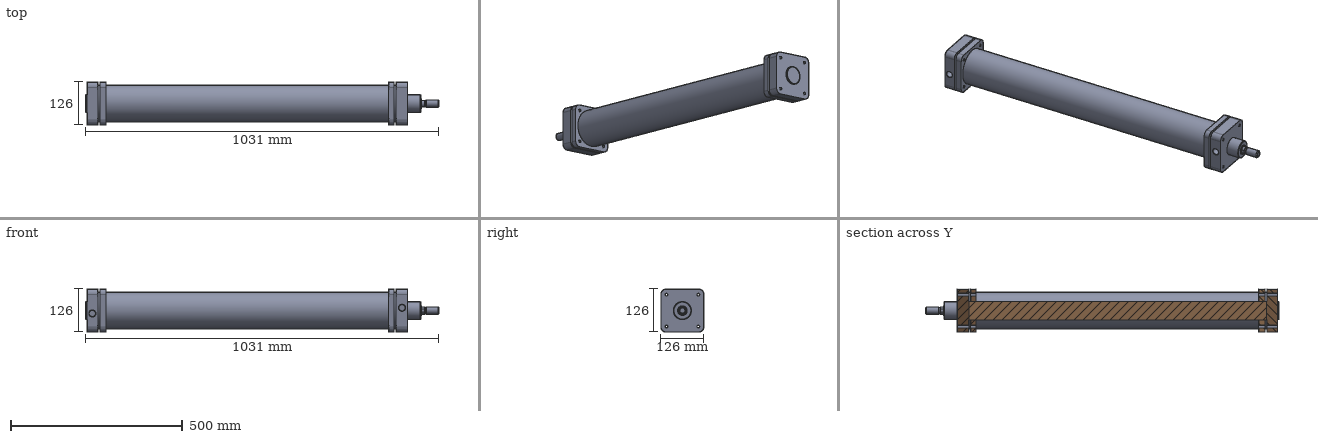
import cadquery as cq

HEAD_SIDE = 126.0
CORNER_RADIUS = 15.0
BOLT_OFFSET = 46.0
BOLT_HOLE_DIAMETER = 7.0

BOSS_LENGTH = 4.0
REAR_HEAD_LENGTH = 32.0
PLATE_GAP = 5.0
REAR_PLATE_LENGTH = 19.0
FRONT_PLATE_LENGTH = 16.0
TUBE_LENGTH = 869.0
TUBE_DIAMETER = 108.0
FRONT_HEAD_LENGTH = 34.0
NECK_LENGTH = 38.0
NECK_DIAMETER = 53.0
NECK_CHAMFER = 1.5

PORT_DIAMETER = 19.0
PORT_CHAMFER = 1.0
PORT_DEPTH = 31.0
PORT_RISE = 8.0
REAR_PORT_SETBACK = 15.0
FRONT_PORT_SETBACK = 16.0

ROD_DIAMETER = 28.0
ROD_COLLAR_LENGTH = 2.0
FLAT_LENGTH = 8.0
FLAT_SPACING = 20.0
SHANK_DIAMETER = 22.0
RELIEF_DIAMETER = 19.0
RELIEF_FLOOR_LENGTH = 4.0
RELIEF_RAMP_LENGTH = 2.0
TIP_CHAMFER = 3.0

OVERALL_LENGTH = 1031.0

rear_head_start = BOSS_LENGTH
tube_start = rear_head_start + REAR_HEAD_LENGTH
tube_end = tube_start + TUBE_LENGTH
front_head_end = tube_end + FRONT_HEAD_LENGTH
neck_end = front_head_end + NECK_LENGTH
rear_plate_start = tube_start + PLATE_GAP
front_plate_start = tube_end - PLATE_GAP - FRONT_PLATE_LENGTH
collar_end = neck_end + ROD_COLLAR_LENGTH


def cylinder(start, length, diameter):
    """Solid cylinder on the X axis."""
    return cq.Workplane("YZ", origin=(start, 0, 0)).circle(diameter / 2).extrude(length)


def square_block(start, length):
    """Square block with rounded edges and four through bolt holes."""
    block = (
        cq.Workplane("YZ", origin=(start, 0, 0))
        .rect(HEAD_SIDE, HEAD_SIDE)
        .extrude(length)
        .edges("|X")
        .fillet(CORNER_RADIUS)
    )
    bolt_holes = (
        cq.Workplane("YZ", origin=(start, 0, 0))
        .rect(2 * BOLT_OFFSET, 2 * BOLT_OFFSET, forConstruction=True)
        .vertices()
        .circle(BOLT_HOLE_DIAMETER / 2)
        .extrude(length)
    )
    return block.cut(bolt_holes)


def port(x, z):
    """Cutter for a blind port with a chamfered mouth, entering from the -Y face."""
    face = cq.Workplane("XZ", origin=(x, -HEAD_SIDE / 2, z))
    bore = face.circle(PORT_DIAMETER / 2).extrude(-PORT_DEPTH)
    mouth = face.circle(PORT_DIAMETER / 2 + PORT_CHAMFER).extrude(-PORT_CHAMFER, taper=45)
    return bore.union(mouth)


def make_rear_head():
    """Rear head with its centring boss and the lower port."""
    boss = cylinder(0, tube_start, NECK_DIAMETER).faces("<X").chamfer(NECK_CHAMFER)
    head = square_block(rear_head_start, REAR_HEAD_LENGTH).union(boss)
    return head.cut(port(rear_head_start + REAR_PORT_SETBACK, -PORT_RISE))


def make_front_head():
    """Front head with its neck, the rod bore and the upper port."""
    neck_and_head = neck_end - tube_end
    neck = cylinder(tube_end, neck_and_head, NECK_DIAMETER).faces(">X").chamfer(NECK_CHAMFER)
    head = square_block(tube_end, FRONT_HEAD_LENGTH).union(neck)
    rod_bore = cylinder(tube_end, neck_and_head, ROD_DIAMETER)
    return head.cut(rod_bore).cut(port(front_head_end - FRONT_PORT_SETBACK, PORT_RISE))


def make_flange_plate(start, length):
    """Square plate fitted around the tube."""
    return square_block(start, length).cut(cylinder(start, length, TUBE_DIAMETER))


def make_relief():
    """Ring cutter with a square rear side, a flat floor and a sloped front side."""
    start = collar_end + FLAT_LENGTH
    floor_end = start + RELIEF_FLOOR_LENGTH
    return (
        cq.Workplane("XY")
        .moveTo(start, RELIEF_DIAMETER / 2)
        .lineTo(floor_end, RELIEF_DIAMETER / 2)
        .lineTo(floor_end + RELIEF_RAMP_LENGTH, SHANK_DIAMETER / 2)
        .lineTo(start, SHANK_DIAMETER / 2)
        .close()
        .revolve(360, (0, 0, 0), (1, 0, 0))
    )


def make_rod():
    """Rod from the inner face of the front head out to the tip of its shank."""
    rod = cylinder(tube_end, collar_end - tube_end, ROD_DIAMETER)
    shank = cylinder(collar_end, OVERALL_LENGTH - collar_end, SHANK_DIAMETER)
    shank = shank.faces(">X").chamfer(TIP_CHAMFER)
    flat_zone = cq.Workplane("XY").box(FLAT_LENGTH, ROD_DIAMETER, ROD_DIAMETER)
    between_flats = cq.Workplane("XY").box(FLAT_LENGTH, FLAT_SPACING, ROD_DIAMETER)
    flat_cutter = flat_zone.cut(between_flats).translate((collar_end + FLAT_LENGTH / 2, 0, 0))
    shank = shank.cut(flat_cutter).cut(make_relief())
    return rod.union(shank)


tube = cylinder(tube_start, TUBE_LENGTH, TUBE_DIAMETER)
rear_head = make_rear_head()
front_head = make_front_head()
rear_plate = make_flange_plate(rear_plate_start, REAR_PLATE_LENGTH)
front_plate = make_flange_plate(front_plate_start, FRONT_PLATE_LENGTH)
rod = make_rod()

result = cq.Compound.makeCompound(
    [tube.val(), rear_head.val(), front_head.val(), rear_plate.val(), front_plate.val(), rod.val()]
)